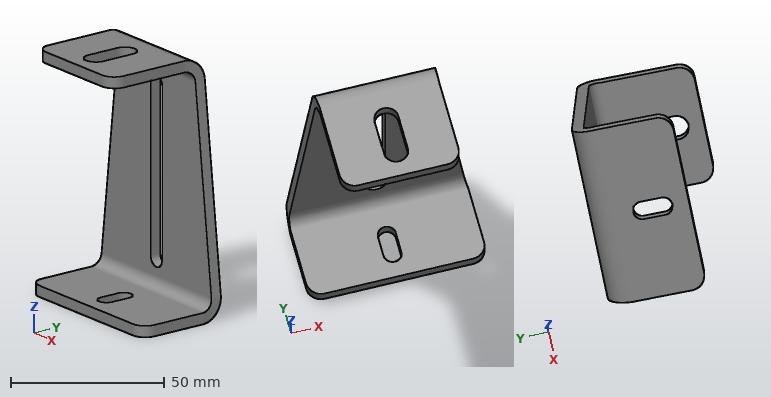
import cadquery as cq
import math

height = 88.0
thickness = 4.0
inner_radius = 4.0
outer_radius = inner_radius + thickness
corner_radius = 5.0

bottom_width = 60.0
bottom_depth = 33.0
top_width = 40.0
top_depth = 38.0

narrow_slot_width = 6.0
wall_slot_length = 66.0
bottom_slot_length = 13.0
bottom_slot_y = -21.0
top_slot_width = 8.0
top_slot_length = 20.0
top_slot_y = -23.0

wall_height = height - 2 * outer_radius
bend_length = inner_radius * math.pi / 2
half_taper = (bottom_width - top_width) / 2
bend_growth = half_taper * bend_length / (wall_height + 2 * bend_length)
wall_half_bottom = bottom_width / 2 - bend_growth
wall_half_top = top_width / 2 + bend_growth


def flange(width, depth, base_z, slot_length, slot_width, slot_y):
    """Flat flange with rounded free corners and a slot along Y."""
    flat_length = depth - outer_radius
    plate = (
        cq.Workplane("XY", origin=(0, -outer_radius - flat_length / 2, base_z))
        .rect(width, flat_length)
        .extrude(thickness)
        .edges("|Z and <Y")
        .fillet(corner_radius)
    )
    slot = (
        cq.Workplane("XY", origin=(0, slot_y, base_z))
        .slot2D(slot_length, slot_width, 90)
        .extrude(thickness)
    )
    return plate.cut(slot)


def wall():
    """Tapered upright plate with a long vertical slot."""
    plate = (
        cq.Workplane("XZ")
        .polyline([
            (-wall_half_bottom, outer_radius),
            (wall_half_bottom, outer_radius),
            (wall_half_top, height - outer_radius),
            (-wall_half_top, height - outer_radius),
        ])
        .close()
        .extrude(thickness)
    )
    slot = (
        cq.Workplane("XZ", origin=(0, 0, height / 2))
        .slot2D(wall_slot_length, narrow_slot_width, 90)
        .extrude(thickness)
    )
    return plate.cut(slot)


def bend(axis_z, start_direction, narrow_half_width):
    """Quarter bend that widens evenly with angle from its starting direction.

    It is built about local Z, then turned so that local Z lies along -X.
    """
    wide_half_width = narrow_half_width + bend_growth
    blank = (
        cq.Workplane("XY", origin=(0, 0, -wide_half_width))
        .moveTo(inner_radius, 0)
        .lineTo(outer_radius, 0)
        .radiusArc((0, outer_radius), -outer_radius)
        .lineTo(0, inner_radius)
        .radiusArc((inner_radius, 0), inner_radius)
        .close()
        .extrude(2 * wide_half_width)
    )
    ramp_radii = (inner_radius / 2, outer_radius + inner_radius / 2)
    ramp_start = cq.Vector(0, 0, narrow_half_width)
    ramp_edges = [
        cq.Wire.makeHelix(4 * bend_growth, bend_growth, radius, ramp_start).Edges()[0]
        for radius in ramp_radii
    ]
    ramp = cq.Face.makeRuledSurface(*ramp_edges)
    trim = cq.Workplane(cq.Solid.extrudeLinear(ramp, cq.Vector(0, 0, 2 * bend_growth)))
    trimmed = blank.cut(trim).cut(trim.mirror("XY"))
    frame = cq.Plane(origin=(0, -outer_radius, axis_z), xDir=start_direction, normal=(-1, 0, 0))
    return cq.Workplane(trimmed.val().moved(cq.Location(frame)))


bottom_flange = flange(
    bottom_width, bottom_depth, 0, bottom_slot_length, narrow_slot_width, bottom_slot_y
)
top_flange = flange(
    top_width, top_depth, height - thickness, top_slot_length, top_slot_width, top_slot_y
)
bottom_bend = bend(outer_radius, (0, 1, 0), wall_half_bottom)
top_bend = bend(height - outer_radius, (0, 0, 1), top_width / 2)

bracket = wall().union(bottom_bend).union(top_bend).union(bottom_flange).union(top_flange)
result = cq.Workplane(bracket.solids().val())